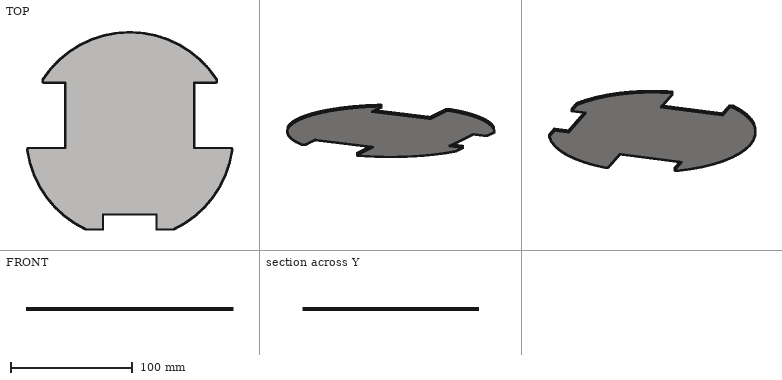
import cadquery as cq

plate_radius = 85.0
thickness = 1.6
plate_depth = 162.0
flat_y = plate_radius - plate_depth

waist_width = 106.0
side_slot_top = 43.2
side_slot_bottom = -10.0
tip_radius = 1.9

notch_width = 43.7
notch_depth = 12.3


def box_between(x_min, x_max, y_min, y_max):
    """Plate-thick block spanning the given X and Y limits."""
    return (
        cq.Workplane("XY")
        .box(x_max - x_min, y_max - y_min, thickness, centered=False)
        .translate((x_min, y_min, 0))
    )


disc = cq.Workplane("XY").circle(plate_radius).extrude(thickness)
plate = disc.intersect(box_between(-plate_radius, plate_radius, flat_y, plate_radius))

half_waist = waist_width / 2
plate = plate.cut(box_between(-plate_radius, -half_waist, side_slot_bottom, side_slot_top))
plate = plate.cut(box_between(half_waist, plate_radius, side_slot_bottom, side_slot_top))

tip_zone = cq.selectors.BoxSelector(
    (-plate_radius, side_slot_bottom - tip_radius, -thickness),
    (-half_waist - tip_radius, side_slot_top + tip_radius, 2 * thickness),
)
opposite_tip_zone = cq.selectors.BoxSelector(
    (half_waist + tip_radius, side_slot_bottom - tip_radius, -thickness),
    (plate_radius, side_slot_top + tip_radius, 2 * thickness),
)
plate = plate.edges("|Z").edges(tip_zone + opposite_tip_zone).fillet(tip_radius)

half_notch = notch_width / 2
result = plate.cut(box_between(-half_notch, half_notch, flat_y, flat_y + notch_depth))